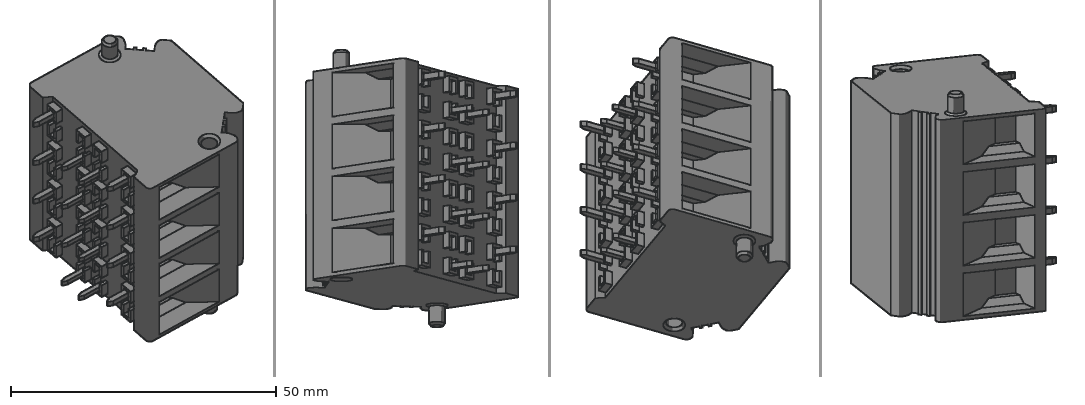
import cadquery as cq
import math

overall_height = 48.0
overall_width = 36.8
half_width = overall_width / 2
pole_count = 4
body_height = 40.0
pole_pitch = body_height / pole_count
half_body = body_height / 2
pole_centres = [(i - (pole_count - 1) / 2) * pole_pitch for i in range(pole_count)]

back_y = 28.7
back_half_width = 10.95
foot_radius = 0.95
shoulder_radius = 1.15
front_recess = 1.65
recess_half_width = 12.85
foot_inner_x = 13.8
shoulder_y = 21.95
notch_inner = (10.7, 24.4)
notch_outer = (14.6, 20.5)
shoulder_crest = (16.8, shoulder_y)
shoulder_bend = (15.4, 21.3)

hook_underside = (11.6, 25.3)
hook_flank = (12.05, 25.85)
hook_nose = (12.3, 26.6)
hook_round = (12.3, 27.2)
hook_chamfer_end = (12.0, 27.65)

ridge_width = 0.6
ridge_height = 0.6
ridge_spacing = 1.8
ridge_root = 0.25

peg_x = 15.05
peg_y = 17.2
peg_length = (overall_height - body_height) / 2
peg_radius = 1.55
peg_tip_radius = 1.15
peg_tip_length = 0.55
collar_radius = 2.05
collar_height = 0.35
countersink_depth = 0.6

pocket_back_y = 16.9
pocket_front_y = 2.5
pocket_floor_back_y = 8.05
pocket_floor_front_y = 3.95
pocket_depth = 6.6
pocket_height = 8.5
pocket_half_height = pocket_height / 2
pocket_floor_half_height = 3.0
pocket_taper_start = 3.8
pocket_taper_end = 5.3

guard_height = 1.5
guard_outer_z = 4.0
guard_inner_z = 0.95
guard_wall = 0.65
outer_guard_x = (9.9, 12.6)
outer_slot_x = (10.55, 11.95)
inner_guard_x = (1.2, 3.85)
inner_slot_x = (1.8, 3.15)
pin_offset_z = pole_pitch / 4
pin_tip_y = -4.3
pin_taper_y = -3.35
pin_root = 0.95
pin_tip_width = 0.35
outer_pin_x = 11.25
outer_pin_size = 1.15
inner_pin_x = 2.55
inner_pin_size = 1.0


def box(x_range, y_range, z_range):
    """Block spanning the given ranges."""
    size = [max(r) - min(r) for r in (x_range, y_range, z_range)]
    return cq.Workplane("XY").box(*size, centered=False).translate((min(x_range), min(y_range), min(z_range)))


def prism_along_z(outline, half_height):
    """Extrude an XY outline equally above and below Z = 0."""
    return outline.close().extrude(half_height, both=True)


def make_housing():
    """Symmetric housing with hooked shoulders, built as one half and mirrored."""
    outline = (
        cq.Workplane("XY")
        .moveTo(0, front_recess)
        .lineTo(recess_half_width, front_recess)
        .lineTo(foot_inner_x, 0)
        .lineTo(half_width, 0)
        .lineTo(half_width, shoulder_y)
        .lineTo(*shoulder_crest)
        .lineTo(*shoulder_bend)
        .lineTo(*notch_outer)
        .lineTo(*notch_inner)
        .lineTo(*hook_underside)
        .threePointArc(hook_flank, hook_nose)
        .threePointArc(hook_round, hook_chamfer_end)
        .lineTo(back_half_width, back_y)
        .lineTo(0, back_y)
    )
    half = prism_along_z(outline, half_body)
    half = half.edges(cq.NearestToPointSelector((half_width, 0, 0))).fillet(foot_radius)
    half = half.edges(cq.NearestToPointSelector((half_width, shoulder_y, 0))).fillet(shoulder_radius)
    slope_length = math.dist(notch_inner, notch_outer)
    slope_angle = math.degrees(math.atan2(notch_outer[1] - notch_inner[1], notch_outer[0] - notch_inner[0]))
    for along in (slope_length / 2 - ridge_spacing / 2, slope_length / 2 + ridge_spacing / 2):
        ridge = box(
            (along - ridge_width / 2, along + ridge_width / 2),
            (-ridge_root, ridge_height),
            (-half_body, half_body),
        )
        ridge = ridge.rotate((0, 0, 0), (0, 0, 1), slope_angle)
        half = half.union(ridge.translate((*notch_inner, 0)))
    return half.union(half.mirror("YZ"))


def make_peg(flare_height):
    """Round peg rising from Z = 0, flared at its root and chamfered at its tip."""
    profile = (
        cq.Workplane("XZ")
        .lineTo(collar_radius, 0)
        .lineTo(peg_radius, flare_height)
        .lineTo(peg_radius, peg_length - peg_tip_length)
        .lineTo(peg_tip_radius, peg_length)
        .lineTo(0, peg_length)
        .close()
    )
    return profile.revolve(360, (0, 0, 0), (0, 1, 0))


def make_wire_pocket():
    """Pocket in the +X side: ramped floor in XY, stepped and tapered walls in XZ."""
    floor_x = half_width - pocket_depth
    plan = (
        cq.Workplane("XY")
        .moveTo(half_width, pocket_back_y)
        .lineTo(floor_x, pocket_floor_back_y)
        .lineTo(floor_x, pocket_floor_front_y)
        .lineTo(half_width, pocket_front_y)
    )
    taper_start_x = half_width - pocket_taper_start
    taper_end_x = half_width - pocket_taper_end
    upper_wall = [
        (half_width, pocket_half_height),
        (taper_start_x, pocket_half_height),
        (taper_end_x, pocket_floor_half_height),
        (floor_x, pocket_floor_half_height),
    ]
    lower_wall = [(x, -z) for x, z in reversed(upper_wall)]
    section = cq.Workplane("XZ").polyline(upper_wall + lower_wall).close().extrude(-back_y)
    return prism_along_z(plan, pocket_half_height).intersect(section)


def make_guard(guard_x, slot_x):
    """U-shaped guard in the +Z half of a pole, open towards the pole centre."""
    y_range = (front_recess - guard_height, front_recess)
    block = box(guard_x, y_range, (guard_inner_z, guard_outer_z))
    slot = box(slot_x, y_range, (guard_inner_z, guard_outer_z - guard_wall))
    return block.cut(slot)


def make_pin(x, z, size):
    """Square pin pointing to -Y with its width tapered at the tip."""
    half_size = size / 2
    half_tip = pin_tip_width / 2
    outline = (
        cq.Workplane("XY")
        .moveTo(-half_size, front_recess + pin_root)
        .lineTo(-half_size, pin_taper_y)
        .lineTo(-half_tip, pin_tip_y)
        .lineTo(half_tip, pin_tip_y)
        .lineTo(half_size, pin_taper_y)
        .lineTo(half_size, front_recess + pin_root)
    )
    return prism_along_z(outline, half_size).translate((x, 0, z))


def make_contacts():
    """Guards and pins of one pole on the +X side."""
    upper_guards = make_guard(outer_guard_x, outer_slot_x).union(make_guard(inner_guard_x, inner_slot_x))
    guards = upper_guards.union(upper_guards.mirror("XY"))
    outer_pin = make_pin(outer_pin_x, pin_offset_z, outer_pin_size)
    inner_pin = make_pin(inner_pin_x, -pin_offset_z, inner_pin_size)
    return guards.union(outer_pin).union(inner_pin)


result = make_housing()

peg = make_peg(collar_height)
socket = make_peg(countersink_depth)
result = result.union(peg.translate((-peg_x, peg_y, half_body)))
result = result.union(peg.mirror("XY").translate((peg_x, peg_y, -half_body)))
result = result.cut(socket.mirror("XY").translate((peg_x, peg_y, half_body)))
result = result.cut(socket.translate((-peg_x, peg_y, -half_body)))

pocket = make_wire_pocket()
contacts = make_contacts()
pocket_pair = pocket.union(pocket.mirror("YZ"))
contact_pair = contacts.union(contacts.mirror("YZ"))
for pole_z in pole_centres:
    result = result.cut(pocket_pair.translate((0, 0, pole_z)))
    result = result.union(contact_pair.translate((0, 0, pole_z)))